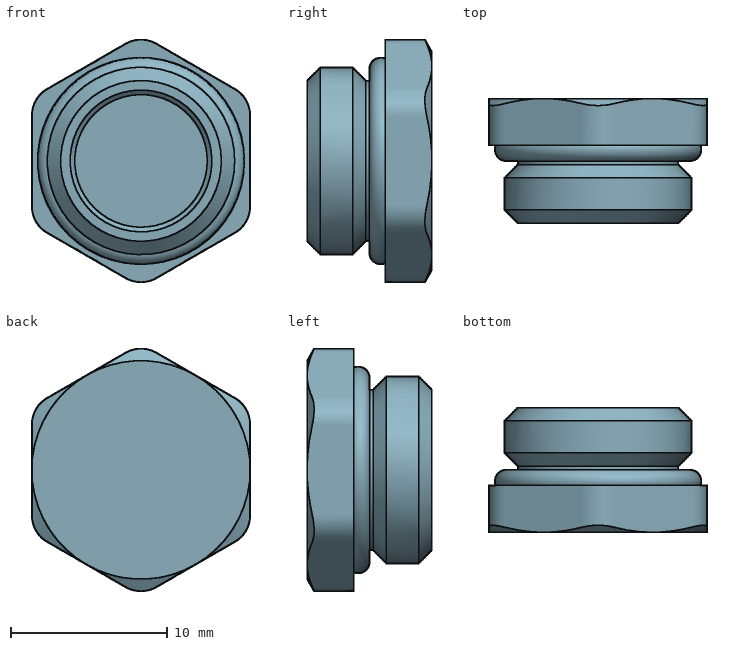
import cadquery as cq
import math

across_flats = 14.0
across_corners = 15.55
head_thickness = 3.0
head_chamfer_angle = 30.0
head_face_diameter = across_flats

total_length = 8.0
ring_diameter = 13.25
ring_section_diameter = 1.5
ring_height = 1.01
neck_diameter = 10.3
neck_end = 1.23
plug_diameter = 12.0
plug_chamfer = (plug_diameter - neck_diameter) / 2

recess_mouth_diameter = 9.08
recess_depth = 0.3
recess_floor_diameter = recess_mouth_diameter - 2 * recess_depth

plug_length = total_length - head_thickness


def revolve_about_y(profile):
    return profile.close().revolve(360, (0, 0, 0), (0, 1, 0))


def make_head():
    sharp_corners = across_flats / math.cos(math.pi / 6)
    corner_radius = (sharp_corners - across_corners) / 2 / (1 / math.cos(math.pi / 6) - 1)
    hexagon = (
        cq.Workplane("XZ")
        .transformed(rotate=(0, 0, 90))
        .polygon(6, sharp_corners)
        .extrude(-head_thickness)
        .edges("|Y")
        .fillet(corner_radius)
    )
    face_radius = head_face_diameter / 2
    envelope_radius = sharp_corners / 2
    bevel_drop = (envelope_radius - face_radius) * math.tan(math.radians(head_chamfer_angle))
    envelope = revolve_about_y(
        cq.Workplane("XY")
        .lineTo(envelope_radius, 0)
        .lineTo(envelope_radius, head_thickness - bevel_drop)
        .lineTo(face_radius, head_thickness)
        .lineTo(0, head_thickness)
    )
    return hexagon.intersect(envelope)


def make_ring():
    section_radius = ring_section_diameter / 2
    center_radius = ring_diameter / 2 - section_radius
    center_y = section_radius - ring_height
    return (
        cq.Workplane("XY")
        .center(center_radius, center_y)
        .circle(section_radius)
        .revolve(360, (-center_radius, 0, 0), (-center_radius, 1, 0))
    )


def make_plug():
    neck_radius = neck_diameter / 2
    plug_radius = plug_diameter / 2
    return revolve_about_y(
        cq.Workplane("XY")
        .lineTo(neck_radius, 0)
        .lineTo(neck_radius, -neck_end)
        .lineTo(plug_radius, -neck_end - plug_chamfer)
        .lineTo(plug_radius, -plug_length + plug_chamfer)
        .lineTo(plug_radius - plug_chamfer, -plug_length)
        .lineTo(0, -plug_length)
    )


def make_recess():
    return revolve_about_y(
        cq.Workplane("XY")
        .moveTo(0, -plug_length)
        .lineTo(recess_mouth_diameter / 2, -plug_length)
        .lineTo(recess_floor_diameter / 2, -plug_length + recess_depth)
        .lineTo(0, -plug_length + recess_depth)
    )


result = make_head().union(make_ring()).union(make_plug()).cut(make_recess())